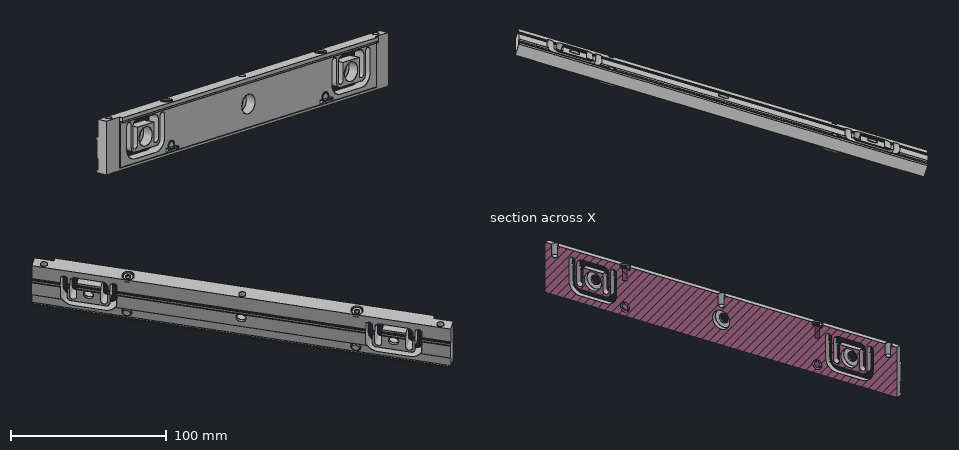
import cadquery as cq
import math


length = 275.0
height = 36.0
upper_face_x = 1.5
middle_face_x = 0.5
back_x = 8.8
pad_x = 9.5
pad_length = 249.5
pad_bottom_z = 2.2

tooth_top_z = 24.2
tooth_bottom_z = 21.7
groove_top_z = 10.2
groove_bottom_z = 2.5
groove_slope = 0.8
tooth_bevel_x = 0.5
tooth_bevel_z = 0.3
foot_top_z = 2.0
foot_ledge = 0.8
foot_chamfer = 0.8

hook_x = 11.3
hook_thickness = 2.8
lip_drop = 0.8
lip_thickness = 0.5

clip_y = 100.0
slot_top_z = 30.8
outer_slot_width = 4.5
outer_slot_half_span = 18.5
outer_slot_bottom_z = 5.2
outer_slot_radius = 8.2
inner_slot_half_span = 12.5
inner_slot_end_z = 11.8
inner_slot_radius = 3.8
tongue_half_width = 8.0
tongue_top_z = 25.8
cross_hole_diameter = 6.5
cross_hole_z = height / 2
back_bore_diameter = 13.0
back_bore_floor_x = 2.2

drill_diameter = 4.5
drill_x = 4.5
drill_y = 130.0
drill_depth = 8.2
drill_point_angle = 118.0

screw_x = 5.5
fastener_y = 75.0
counterbore_diameter = 7.7
counterbore_depth = 2.2
screw_head_diameter = 6.5
screw_head_height = 1.5
screw_shank_diameter = 3.3
screw_shank_length = 8.2
socket_diameter = 3.3
socket_depth = 0.5

latch_z = 6.5
latch_bore_diameter = 6.5
latch_pin_diameter = 5.0
wedge_width = 10.2
wedge_tip_x = 11.8
wedge_top_z = 5.5
wedge_tip_height = 0.8

clip_places = (-clip_y, clip_y)
fastener_places = (-fastener_y, fastener_y)


def drill_tip_height(diameter):
    return diameter / 2 / math.tan(math.radians(drill_point_angle / 2))


def drilled_hole(diameter, depth, x, y, top_z):
    """Cutter for a blind hole with a conical bottom; depth is that of the round wall."""
    radius = diameter / 2
    tip = drill_tip_height(diameter)
    wall = cq.Solid.makeCylinder(radius, depth, cq.Vector(x, y, top_z - depth))
    cone = cq.Solid.makeCone(0, radius, tip, cq.Vector(x, y, top_z - depth - tip))
    return wall.fuse(cone)


def extrude_along_y(points, y_length, y_center=0.0):
    """Prism with an X-Z outline, centred on y_center."""
    outline = cq.Workplane("XZ", origin=(0, y_center, 0)).polyline(points).close()
    return outline.extrude(y_length / 2, both=True)


def through_cut(y_low, y_high, z_low, z_high):
    """Box through the whole thickness of the rail."""
    size_y = y_high - y_low
    size_z = z_high - z_low
    return cq.Workplane("XY").box(hook_x, size_y, size_z, centered=False).translate((0, y_low, z_low))


def rail_bar():
    return extrude_along_y([
        (upper_face_x, height),
        (upper_face_x, tooth_top_z),
        (tooth_bevel_x, tooth_top_z),
        (0, tooth_top_z - tooth_bevel_z),
        (0, tooth_bottom_z),
        (middle_face_x, tooth_bottom_z),
        (middle_face_x, groove_top_z),
        (upper_face_x, groove_top_z - groove_slope),
        (upper_face_x, groove_bottom_z),
        (foot_ledge, foot_top_z),
        (0, foot_top_z),
        (0, foot_chamfer),
        (foot_chamfer, 0),
        (back_x, 0),
        (back_x, height),
    ], length)


def pad_with_hook():
    hook_bottom_z = height - hook_thickness
    return extrude_along_y([
        (back_x, height),
        (hook_x, height),
        (hook_x, hook_bottom_z - lip_drop),
        (hook_x - lip_thickness, hook_bottom_z),
        (pad_x, hook_bottom_z),
        (pad_x, pad_bottom_z),
        (back_x, pad_bottom_z),
    ], pad_length)


def cylinder_along_x(diameter, x_start, x_end, y, z):
    return cq.Solid.makeCylinder(diameter / 2, x_end - x_start, cq.Vector(x_start, y, z), cq.Vector(1, 0, 0))


def add_round_ends(slot, y, half_span, inner_half_span, z):
    """Adds a full-round end to both arms of a U-shaped slot cutter."""
    arm_width = half_span - inner_half_span
    arm_offset = half_span - arm_width / 2
    for arm_y in (y - arm_offset, y + arm_offset):
        slot = slot.union(cq.Workplane(cylinder_along_x(arm_width, 0, hook_x, arm_y, z)))
    return slot


def outer_slot(y):
    half = outer_slot_half_span
    inner_half = half - outer_slot_width
    floor_z = outer_slot_bottom_z + outer_slot_width
    end_center_z = slot_top_z - outer_slot_width / 2
    frame = through_cut(y - half, y + half, outer_slot_bottom_z, end_center_z)
    frame = frame.edges("|X and <Z").fillet(outer_slot_radius)
    core = through_cut(y - inner_half, y + inner_half, floor_z, end_center_z)
    core = core.edges("|X and <Z").fillet(outer_slot_radius - outer_slot_width)
    return add_round_ends(frame.cut(core), y, half, inner_half, end_center_z)


def inner_slot(y):
    half = inner_slot_half_span
    end_center_z = inner_slot_end_z + (half - tongue_half_width) / 2
    frame = through_cut(y - half, y + half, end_center_z, slot_top_z)
    frame = frame.edges("|X and >Z").fillet(inner_slot_radius)
    core = through_cut(y - tongue_half_width, y + tongue_half_width, end_center_z, tongue_top_z)
    return add_round_ends(frame.cut(core), y, half, tongue_half_width, end_center_z)


def make_rail():
    rail = rail_bar().union(pad_with_hook())
    for y in clip_places:
        rail = rail.cut(outer_slot(y)).cut(inner_slot(y))
    for y in (*clip_places, 0):
        hole = cylinder_along_x(cross_hole_diameter, 0, pad_x, y, cross_hole_z)
        back_bore = cylinder_along_x(back_bore_diameter, back_bore_floor_x, pad_x, y, cross_hole_z)
        rail = rail.cut(cq.Workplane(hole)).cut(cq.Workplane(back_bore))
    for y in (-drill_y, 0, drill_y):
        rail = rail.cut(cq.Workplane(drilled_hole(drill_diameter, drill_depth, drill_x, y, height)))
    for y in fastener_places:
        floor = cq.Vector(screw_x, y, height - counterbore_depth)
        counterbore = cq.Solid.makeCylinder(counterbore_diameter / 2, counterbore_depth, floor)
        shank_depth = counterbore_depth + screw_shank_length
        shank_end = cq.Vector(screw_x, y, height - shank_depth)
        shank_hole = cq.Solid.makeCylinder(screw_shank_diameter / 2, shank_depth, shank_end)
        latch_bore = cylinder_along_x(latch_bore_diameter, 0, pad_x, y, latch_z)
        for cutter in (counterbore, shank_hole, latch_bore):
            rail = rail.cut(cq.Workplane(cutter))
    return rail


def make_screw(y):
    seat_z = height - counterbore_depth
    head = cq.Solid.makeCylinder(screw_head_diameter / 2, screw_head_height, cq.Vector(screw_x, y, seat_z))
    shank_end = cq.Vector(screw_x, y, seat_z - screw_shank_length)
    shank = cq.Solid.makeCylinder(screw_shank_diameter / 2, screw_shank_length, shank_end)
    socket = drilled_hole(socket_diameter, socket_depth, screw_x, y, seat_z + screw_head_height)
    return cq.Workplane(head.fuse(shank).cut(socket))


def make_latch(y):
    wedge = extrude_along_y([
        (pad_x, wedge_top_z),
        (wedge_tip_x, wedge_top_z),
        (wedge_tip_x, wedge_top_z - wedge_tip_height),
        (pad_x, pad_bottom_z),
    ], wedge_width, y)
    pin = cylinder_along_x(latch_pin_diameter, middle_face_x, pad_x, y, latch_z)
    return wedge.union(cq.Workplane(pin))


rail = make_rail()
screws = [make_screw(y) for y in fastener_places]
latches = [make_latch(y) for y in fastener_places]

result = cq.Compound.makeCompound([
    rail.val(),
    *[screw.val() for screw in screws],
    *[latch.val() for latch in latches],
])